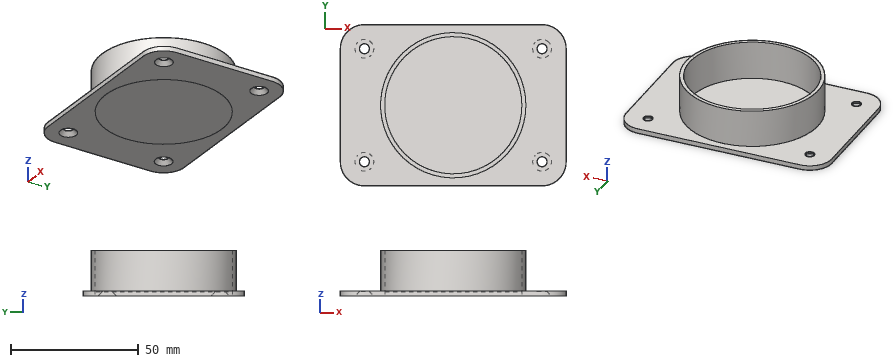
import cadquery as cq

plate_length = 88.9
plate_width = 63.5
plate_thickness = 2.032
hole_inset = 9.525
corner_radius = hole_inset

hole_diameter = 3.81
countersink_angle = 90
countersink_diameter = 7.366

collar_outer_diameter = 57.15
bore_diameter = 53.975
collar_height = 15.875
housing_height = plate_thickness + collar_height

disc_thickness = 1.5875


def make_plate():
    """Flat rounded plate."""
    return (
        cq.Workplane("XY")
        .rect(plate_length, plate_width)
        .extrude(plate_thickness)
        .edges("|Z")
        .fillet(corner_radius)
    )


def add_screw_holes(body):
    """Cut a hole in each corner, with its countersink opening at the underside."""
    hole_spacing_x = plate_length - 2 * hole_inset
    hole_spacing_y = plate_width - 2 * hole_inset
    return (
        body.faces("<Z")
        .workplane(centerOption="CenterOfBoundBox")
        .rect(hole_spacing_x, hole_spacing_y, forConstruction=True)
        .vertices()
        .cskHole(hole_diameter, countersink_diameter, countersink_angle)
    )


def make_housing():
    """Plate and collar in one piece, bored through from top to bottom."""
    collar = cq.Workplane("XY").circle(collar_outer_diameter / 2).extrude(housing_height)
    bore = cq.Workplane("XY").circle(bore_diameter / 2).extrude(housing_height)
    return add_screw_holes(make_plate()).union(collar).cut(bore)


def make_disc():
    """Disc that fills the bore and sits slightly below the top face of the plate."""
    return cq.Workplane("XY").circle(bore_diameter / 2).extrude(disc_thickness)


housing = make_housing()
disc = make_disc()

result = cq.Compound.makeCompound([housing.solids().val(), disc.val()])